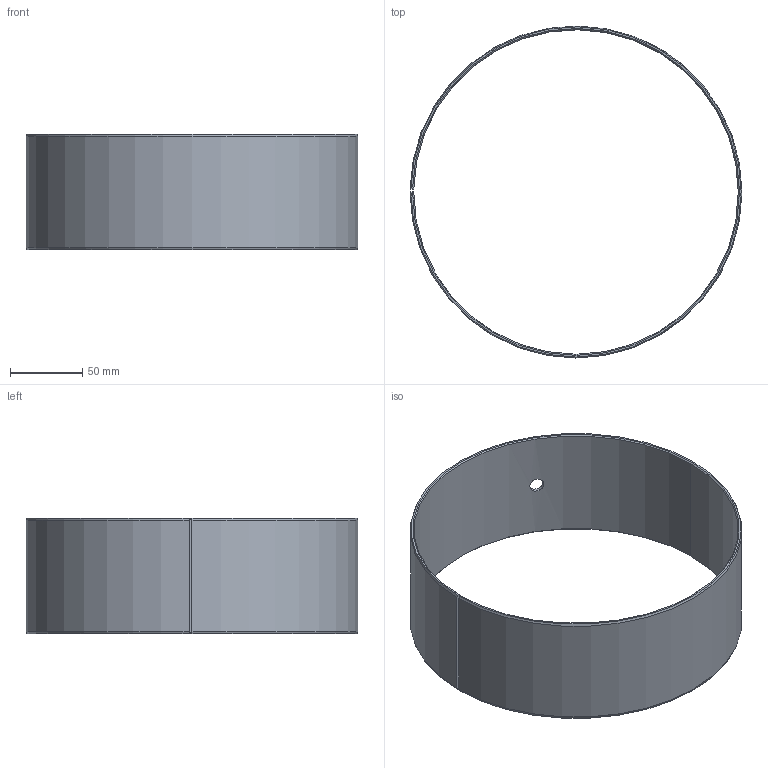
import cadquery as cq

outer_diameter = 230.0
wall_thickness = 2.5
ring_height = 80.0

outer_chamfer_width = 0.55
outer_chamfer_height = 1.5
inner_chamfer = 0.8

slit_width = 2.0

hole_diameter = 10.0
hole_angle = 59.0

outer_radius = outer_diameter / 2
inner_radius = outer_radius - wall_thickness


def chamfered_ring():
    """Tube with chamfers on all four rims, made by revolving the wall section."""
    half_height = ring_height / 2
    outer_chamfer_start = half_height - outer_chamfer_height
    inner_chamfer_start = half_height - inner_chamfer
    inner_edge = inner_radius + inner_chamfer
    outer_edge = outer_radius - outer_chamfer_width
    wall_section = [
        (inner_edge, -half_height),
        (outer_edge, -half_height),
        (outer_radius, -outer_chamfer_start),
        (outer_radius, outer_chamfer_start),
        (outer_edge, half_height),
        (inner_edge, half_height),
        (inner_radius, inner_chamfer_start),
        (inner_radius, -inner_chamfer_start),
    ]
    axis_start = (0, 0, 0)
    axis_end = (0, 1, 0)
    return cq.Workplane("XZ").polyline(wall_section).close().revolve(360, axis_start, axis_end)


def slit_cutter():
    """Full-height block running from the ring axis out past the -X side."""
    cutter_length = outer_diameter
    block = cq.Workplane("XY").box(
        cutter_length, slit_width, ring_height, centered=(True, False, True)
    )
    return block.translate((-cutter_length / 2, 0, 0))


def hole_cutter():
    """Cylinder running from the ring axis outward through one side of the wall."""
    cylinder = cq.Workplane("YZ").circle(hole_diameter / 2).extrude(outer_diameter)
    return cylinder.rotate((0, 0, 0), (0, 0, 1), hole_angle)


result = chamfered_ring().cut(slit_cutter()).cut(hole_cutter())